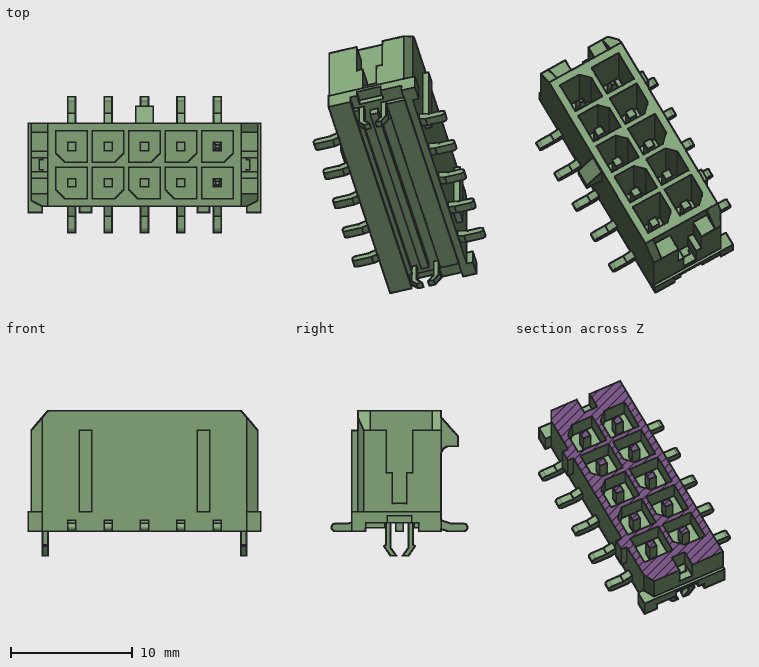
import cadquery as cq


pitch = 3.0
column_count = 5
row_offset = pitch / 2
pin_width = 0.66
pin_top = 7.0
pin_tip_width = 0.28
pin_tip_height = 0.8

housing_length = 18.65
housing_half_width = 3.43
housing_height = 9.93
crown_length = 15.87
shoulder_height = 8.3
bevel_x = 8.39
bevel_y = -2.94

cavity_width = 2.56
cavity_chamfer = 0.72
cavity_floor = 2.3
LEFT, RIGHT = -1, 1
back_row_keys = [LEFT, RIGHT, RIGHT, RIGHT, RIGHT]
front_row_keys = [LEFT, RIGHT, LEFT, LEFT, None]

recess_back = 2.69
recess_front = -2.39
wide_slot_width = 2.19
wide_slot_floor = 4.8
narrow_slot_width = 1.16
narrow_slot_floor = 2.3
pocket_depth = 0.1
pocket_edge_x = 8.35
pocket_tab_x = 8.65
pocket_tab_width = 0.82

foot_length = 19.15
foot_height = 1.615
foot_front = -3.945

notch_back = 1.58
notch_front = -2.79
foot_notch_height = 0.69
underside_relief = 0.28
channel_width = 2.4
rail_width = 0.64

rib_width = 1.0
rib_spacing = 9.69
latch_width = 1.45
latch_tip_y = 4.83
latch_top = 9.37
latch_tip_top = 7.8
latch_bottom = 6.98
latch_root_size = 0.57
latch_radius = 0.72

lead_thickness = 0.64
lead_reach = 5.6
lead_bend_y = 4.24
lead_lower_bend_y = 3.95
lead_rise = 0.27
lead_root_y = 3.0

clip_outer_x = 8.4
clip_thickness = 0.48
clip_slot_width = 2.02
clip_slot_top = 1.28
clip_slot_end_x = 8.7
leg_outer_y = 1.13
leg_inner_y = 0.73
barb_y = 1.29
barb_top = -1.12
barb_tip_z = -1.22
leg_bend_z = -1.35
leg_bottom = -2.03
toe_outer_y = 0.73
toe_inner_y = 0.24


def block(x_range, y_range, z_range):
    """Box spanning the given (low, high) ranges."""
    size = [high - low for low, high in (x_range, y_range, z_range)]
    low_corner = (x_range[0], y_range[0], z_range[0])
    return cq.Workplane("XY").box(*size, centered=False).translate(low_corner)


def centred(width):
    return (-width / 2, width / 2)


def extrude_along_x(outline, width, center_x):
    """Extrude a YZ workplane outline symmetrically about center_x."""
    return outline.extrude(width / 2, both=True).translate((center_x, 0, 0))


def both_ends(left_part):
    """The part at the -X end together with its mirror image at the +X end."""
    return left_part.union(left_part.mirror("YZ"))


def column_positions():
    return [(column - (column_count - 1) / 2) * pitch for column in range(column_count)]


def housing_shell():
    half_length = housing_length / 2
    half_crown = crown_length / 2
    side_outline = (
        cq.Workplane("XZ")
        .polyline([
            (-half_length, 0),
            (half_length, 0),
            (half_length, shoulder_height),
            (half_crown, housing_height),
            (-half_crown, housing_height),
            (-half_length, shoulder_height),
        ])
        .close()
        .extrude(housing_half_width, both=True)
    )
    plan_outline = (
        cq.Workplane("XY")
        .polyline([
            (-half_length, housing_half_width),
            (half_length, housing_half_width),
            (half_length, bevel_y),
            (bevel_x, -housing_half_width),
            (-bevel_x, -housing_half_width),
            (-half_length, bevel_y),
        ])
        .close()
        .extrude(housing_height)
    )
    return side_outline.intersect(plan_outline)


def feet():
    foot = block((-foot_length / 2, -bevel_x), (foot_front, housing_half_width), (0, foot_height))
    return both_ends(foot)


def ribs():
    rib_z = (foot_height, shoulder_height)
    rib_y = (foot_front, -housing_half_width)
    rib = block(centred(rib_width), rib_y, rib_z).translate((-rib_spacing / 2, 0, 0))
    return both_ends(rib)


def latch():
    arc_y = housing_half_width + latch_root_size
    root_z = latch_bottom - latch_root_size
    outline = (
        cq.Workplane("YZ")
        .moveTo(housing_half_width, latch_top)
        .lineTo(latch_tip_y, latch_tip_top)
        .lineTo(latch_tip_y, latch_bottom)
        .lineTo(arc_y, latch_bottom)
        .radiusArc((housing_half_width, root_z), -latch_radius)
        .close()
    )
    return extrude_along_x(outline, latch_width, 0)


def end_recesses():
    end_x = (-housing_length / 2, -crown_length / 2)
    recess = block(end_x, (recess_front, recess_back), (shoulder_height, housing_height))
    recess = recess.union(block(end_x, centred(wide_slot_width), (wide_slot_floor, housing_height)))
    recess = recess.union(block(end_x, centred(narrow_slot_width), (narrow_slot_floor, housing_height)))
    pocket_z = (narrow_slot_floor - pocket_depth, narrow_slot_floor)
    recess = recess.union(block((-pocket_edge_x, -crown_length / 2), centred(narrow_slot_width), pocket_z))
    recess = recess.union(block((-pocket_tab_x, -crown_length / 2), centred(pocket_tab_width), pocket_z))
    return both_ends(recess)


def underside_cuts():
    full_x = centred(foot_length)
    notch_y = (notch_front, notch_back)
    cuts = block(full_x, notch_y, (0, underside_relief))
    cuts = cuts.union(block(full_x, centred(channel_width), (0, foot_notch_height)))
    foot_x = (-foot_length / 2, -clip_outer_x)
    cuts = cuts.union(both_ends(block(foot_x, notch_y, (0, foot_notch_height))))
    slot_x = (-foot_length / 2, -clip_slot_end_x)
    cuts = cuts.union(both_ends(block(slot_x, centred(clip_slot_width), (0, clip_slot_top))))
    return cuts


def underside_rail():
    inner_x = clip_outer_x - clip_thickness
    return block((-inner_x, inner_x), centred(rail_width), (0, foot_notch_height))


def cavity(x, y, chamfered_side):
    shaft_height = housing_height - cavity_floor
    shaft = cq.Workplane("XY").rect(cavity_width, cavity_width).extrude(shaft_height)
    if chamfered_side is not None:
        corner = "<X and <Y" if chamfered_side == LEFT else ">X and <Y"
        shaft = shaft.edges("|Z").edges(corner).chamfer(cavity_chamfer)
    return shaft.translate((x, y, cavity_floor))


def pin(x, y, tapered):
    square_top = pin_top - pin_tip_height if tapered else pin_top
    root_z = cavity_floor - pin_width / 2
    post = block(centred(pin_width), centred(pin_width), (root_z, square_top))
    if tapered:
        tip = (
            cq.Workplane("XY", origin=(0, 0, square_top))
            .rect(pin_width, pin_width)
            .workplane(offset=pin_tip_height)
            .rect(pin_tip_width, pin_tip_width)
            .loft(ruled=True)
        )
        post = post.union(tip)
    return post.translate((x, y, 0))


def back_lead(x):
    tip_radius = lead_thickness / 2
    slope = lead_rise / (lead_bend_y - housing_half_width)
    outline = (
        cq.Workplane("YZ")
        .moveTo(lead_root_y, lead_thickness + slope * (lead_bend_y - lead_root_y))
        .lineTo(lead_bend_y, lead_thickness)
        .lineTo(lead_reach - tip_radius, lead_thickness)
        .threePointArc((lead_reach, tip_radius), (lead_reach - tip_radius, 0))
        .lineTo(lead_lower_bend_y, 0)
        .lineTo(lead_root_y, slope * (lead_lower_bend_y - lead_root_y))
        .close()
    )
    return extrude_along_x(outline, pin_width, x)


def clips():
    leg_top = clip_slot_top
    outline = (
        cq.Workplane("YZ")
        .polyline([
            (leg_inner_y, leg_top),
            (leg_outer_y, leg_top),
            (leg_outer_y, barb_top),
            (barb_y, barb_tip_z),
            (toe_outer_y, leg_bottom),
            (toe_inner_y, leg_bottom),
            (leg_inner_y, leg_bend_z),
        ])
        .close()
    )
    leg = extrude_along_x(outline, clip_thickness, -clip_outer_x + clip_thickness / 2)
    return both_ends(leg.union(leg.mirror("XZ")))


housing = housing_shell().union(feet()).union(ribs()).union(latch())
housing = housing.cut(end_recesses()).cut(underside_cuts()).union(underside_rail())

for row_y, keys in ((row_offset, back_row_keys), (-row_offset, front_row_keys)):
    for column_x, key in zip(column_positions(), keys):
        housing = housing.cut(cavity(column_x, row_y, key))

result = housing.union(clips())
last_column_x = column_positions()[-1]
for column_x in column_positions():
    lead = back_lead(column_x)
    result = result.union(lead).union(lead.mirror("XZ"))
    for row_y in (row_offset, -row_offset):
        result = result.union(pin(column_x, row_y, column_x == last_column_x))